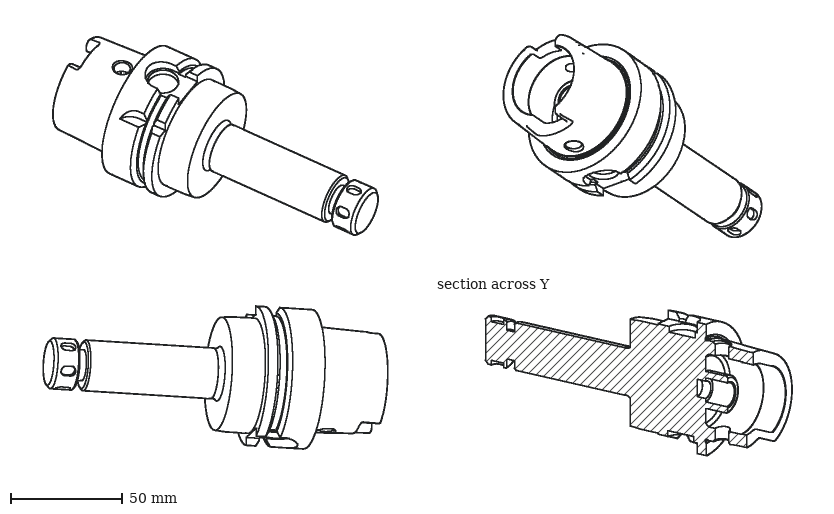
import cadquery as cq
import math

OVERALL_LENGTH = 152.0

TAPER_NOSE_R = 22.8
TAPER_BASE_R = 24.0
TAPER_END_X = 29.8
TAPER_RIM_END_X = 31.0
NOSE_FILLET_R = 1.0

RELIEF_R = 23.7
FACE_RELIEF_FLOOR_R = 24.6
FACE_RELIEF_R = 25.5
FACE_RELIEF_DEPTH = 0.5

FLANGE_R = 31.5
FLANGE_START_X = 31.6
FLANGE_END_X = 57.9
GROOVE_R = 27.5
GROOVE_START_X = 48.3
GROOVE_END_X = 51.8
GROOVE_FLANK_LENGTH = 1.7
GROOVE_FLANK_R = 28.9

COLLAR_R = 26.0
COLLAR_END_R = 25.5
COLLAR_TAPER_X = 68.0
COLLAR_END_X = 73.1

SHAFT_R = 23.0 / 2
SHAFT_NECK_R = 22.6 / 2
ROOT_FILLET_R = 3.5
ROOT_LENGTH = 2.5
SHAFT_START_X = 76.0
SHAFT_END_X = 136.2
SHAFT_CHAMFER = 0.9
NUT_NECK_R = 14.0 / 2

NUT_R = SHAFT_R
NUT_START_X = 140.1
NUT_BACK_CHAMFER = 0.8
NUT_FRONT_CHAMFER = 1.5
NUT_SLOT_COUNT = 6
NUT_SLOT_X = 145.3
NUT_SLOT_LENGTH = 6.7
NUT_SLOT_WIDTH = 4.5
NUT_SLOT_DEPTH = 2.1

BORE_LAND_R = 34.0 / 2
BORE_R = 34.5 / 2
BORE_LAND_END_X = 12.2
BORE_FLOOR_X = 31.9
BORE_FLOOR_CHAMFER = 1.5
TUBE_R = 18.0 / 2
TUBE_END_X = 19.8
TUBE_CHAMFER = 0.9
TUBE_BORE_R = 11.2 / 2
TUBE_BORE_CHAMFER = 0.5
TUBE_DRILL_R = 8.0 / 2
TUBE_DRILL_DEPTH = 4.5

DRIVE_SLOT_HALF_WIDTH = 6.1
DRIVE_SLOT_FLARE_R = 3.0
DRIVE_SLOT_FLARE_Z = 17.8
DRIVE_SLOT_DEPTH_TOP = 6.1
DRIVE_SLOT_DEPTH_BOTTOM = 9.5
DRIVE_SLOT_FLOOR_FILLET = 1.2

ACCESS_HOLE_X = 23.1
ACCESS_HOLE_R = 7.3 / 2
ACCESS_HOLE_SINK_Z = 22.8
ACCESS_HOLE_TOP_Z = 25.1

KEYWAY_START_X = 36.6
KEYWAY_TOP_R = 8.0
KEYWAY_BOTTOM_R = 9.0
KEYWAY_FLOOR_Z = 26.5
KEYWAY_POCKET_R = 14.0 / 2
KEYWAY_POCKET_DEPTH = 2.7
NOTCH_X = 44.1
NOTCH_R = 8.0
NOTCH_Y = -19.8
NOTCH_FLOOR_Z = 19.9


def revolve_profile(points):
    """Revolve (x, radius) points about the X axis."""
    return cq.Workplane("XY").polyline(points).close().revolve(360, (0, 0, 0), (1, 0, 0))


def turned(shape, angle):
    """Turn a shape about the part axis."""
    return shape.rotate((0, 0, 0), (1, 0, 0), angle)


def body():
    """Outer turned shape from the taper nose to the nut."""
    root_flare = ROOT_FILLET_R - math.sqrt(ROOT_FILLET_R**2 - ROOT_LENGTH**2)
    outline = (
        cq.Workplane("XY")
        .moveTo(0, 0)
        .lineTo(0, TAPER_NOSE_R)
        .lineTo(TAPER_END_X, TAPER_BASE_R)
        .lineTo(TAPER_RIM_END_X, TAPER_BASE_R)
        .lineTo(TAPER_RIM_END_X, RELIEF_R)
        .lineTo(FLANGE_START_X + FACE_RELIEF_DEPTH, RELIEF_R)
        .lineTo(FLANGE_START_X + FACE_RELIEF_DEPTH, FACE_RELIEF_FLOOR_R)
        .lineTo(FLANGE_START_X, FACE_RELIEF_R)
        .lineTo(FLANGE_START_X, FLANGE_R)
        .lineTo(GROOVE_START_X - GROOVE_FLANK_LENGTH, FLANGE_R)
        .lineTo(GROOVE_START_X, GROOVE_FLANK_R)
        .lineTo(GROOVE_START_X, GROOVE_R)
        .lineTo(GROOVE_END_X, GROOVE_R)
        .lineTo(GROOVE_END_X, GROOVE_FLANK_R)
        .lineTo(GROOVE_END_X + GROOVE_FLANK_LENGTH, FLANGE_R)
        .lineTo(FLANGE_END_X, FLANGE_R)
        .lineTo(FLANGE_END_X, COLLAR_R)
        .lineTo(COLLAR_TAPER_X, COLLAR_R)
        .lineTo(COLLAR_END_X, COLLAR_END_R)
        .lineTo(COLLAR_END_X, SHAFT_NECK_R + root_flare)
        .radiusArc((COLLAR_END_X + ROOT_LENGTH, SHAFT_NECK_R), -ROOT_FILLET_R)
        .lineTo(SHAFT_START_X, SHAFT_NECK_R)
        .lineTo(SHAFT_START_X, SHAFT_R)
        .lineTo(SHAFT_END_X - SHAFT_CHAMFER, SHAFT_R)
        .lineTo(SHAFT_END_X, SHAFT_R - SHAFT_CHAMFER)
        .lineTo(SHAFT_END_X, NUT_NECK_R)
        .lineTo(NUT_START_X, NUT_NECK_R)
        .lineTo(NUT_START_X, NUT_R - NUT_BACK_CHAMFER)
        .lineTo(NUT_START_X + NUT_BACK_CHAMFER, NUT_R)
        .lineTo(OVERALL_LENGTH - NUT_FRONT_CHAMFER, NUT_R)
        .lineTo(OVERALL_LENGTH, NUT_R - NUT_FRONT_CHAMFER)
        .lineTo(OVERALL_LENGTH, 0)
        .close()
    )
    return outline.revolve(360, (0, 0, 0), (1, 0, 0))


def taper_bore():
    """Hollow of the taper, leaving the coolant tube standing on its floor."""
    hollow = revolve_profile([
        (0, 0),
        (0, BORE_R),
        (BORE_R - BORE_LAND_R, BORE_LAND_R),
        (BORE_LAND_END_X, BORE_LAND_R),
        (BORE_LAND_END_X, BORE_R),
        (BORE_FLOOR_X - BORE_FLOOR_CHAMFER, BORE_R),
        (BORE_FLOOR_X, BORE_R - BORE_FLOOR_CHAMFER),
        (BORE_FLOOR_X, TUBE_R),
        (TUBE_END_X + TUBE_CHAMFER, TUBE_R),
        (TUBE_END_X, TUBE_R - TUBE_CHAMFER),
        (TUBE_END_X, 0),
    ])
    tube_bore = revolve_profile([
        (TUBE_END_X, 0),
        (TUBE_END_X, TUBE_BORE_R + TUBE_BORE_CHAMFER),
        (TUBE_END_X + TUBE_BORE_CHAMFER, TUBE_BORE_R),
        (BORE_FLOOR_X, TUBE_BORE_R),
        (BORE_FLOOR_X, TUBE_DRILL_R),
        (BORE_FLOOR_X + TUBE_DRILL_DEPTH, TUBE_DRILL_R),
        (BORE_FLOOR_X + TUBE_DRILL_DEPTH, 0),
    ])
    return hollow.union(tube_bore)


def drive_slot(depth):
    """Slot across the +Z nose wall whose sides flare outwards in round arcs to flat shelves."""
    flare_y = DRIVE_SLOT_HALF_WIDTH + DRIVE_SLOT_FLARE_R
    flare_top_z = DRIVE_SLOT_FLARE_Z + DRIVE_SLOT_FLARE_R
    arc_mid_y = flare_y - DRIVE_SLOT_FLARE_R * math.sqrt(0.5)
    arc_mid_z = DRIVE_SLOT_FLARE_Z + DRIVE_SLOT_FLARE_R * math.sqrt(0.5)
    return (
        cq.Workplane("YZ")
        .moveTo(-DRIVE_SLOT_HALF_WIDTH, 0)
        .lineTo(-DRIVE_SLOT_HALF_WIDTH, DRIVE_SLOT_FLARE_Z)
        .threePointArc((-arc_mid_y, arc_mid_z), (-flare_y, flare_top_z))
        .lineTo(-FLANGE_R, flare_top_z)
        .lineTo(-FLANGE_R, FLANGE_R)
        .lineTo(FLANGE_R, FLANGE_R)
        .lineTo(FLANGE_R, flare_top_z)
        .lineTo(flare_y, flare_top_z)
        .threePointArc((arc_mid_y, arc_mid_z), (DRIVE_SLOT_HALF_WIDTH, DRIVE_SLOT_FLARE_Z))
        .lineTo(DRIVE_SLOT_HALF_WIDTH, 0)
        .close()
        .extrude(depth)
        .faces(">X").edges()
        .fillet(DRIVE_SLOT_FLOOR_FILLET)
    )


def access_hole():
    """Radial hole through the +Z taper wall with a 45 degree countersink."""
    sink_height = ACCESS_HOLE_TOP_Z - ACCESS_HOLE_SINK_Z
    return (
        cq.Workplane("XZ", origin=(ACCESS_HOLE_X, 0, 0))
        .moveTo(0, TUBE_R)
        .lineTo(ACCESS_HOLE_R, TUBE_R)
        .lineTo(ACCESS_HOLE_R, ACCESS_HOLE_SINK_Z)
        .lineTo(ACCESS_HOLE_R + sink_height, ACCESS_HOLE_TOP_Z)
        .lineTo(0, ACCESS_HOLE_TOP_Z)
        .close()
        .revolve(360, (0, 0, 0), (0, 1, 0))
    )


def milled_slot(end_x, center_y, end_r, floor_z):
    """Round-ended slot milled along +X and open at the back of the flange."""
    run = FLANGE_END_X - end_x
    height = FLANGE_R - floor_z
    start = cq.Workplane("XY", origin=(end_x, center_y, floor_z))
    round_end = start.circle(end_r).extrude(height)
    channel = start.center(run / 2, 0).rect(run, 2 * end_r).extrude(height)
    return round_end.union(channel)


def keyway(end_r):
    """Keyway on the +Z side of the flange with a shallow round pocket in its floor."""
    end_x = KEYWAY_START_X + end_r
    pocket = (
        cq.Workplane("XY", origin=(end_x, 0, KEYWAY_FLOOR_Z - KEYWAY_POCKET_DEPTH))
        .circle(KEYWAY_POCKET_R)
        .extrude(KEYWAY_POCKET_DEPTH)
    )
    return milled_slot(end_x, 0, end_r, KEYWAY_FLOOR_Z).union(pocket)


def orientation_notch():
    """Notch in the flange edge on the -Y, +Z side."""
    return milled_slot(NOTCH_X, NOTCH_Y - NOTCH_R, NOTCH_R, NOTCH_FLOOR_Z)


def nut_slots():
    """Spanner slots spaced evenly around the nut."""
    slot = (
        cq.Workplane("XY", origin=(NUT_SLOT_X, 0, NUT_R - NUT_SLOT_DEPTH))
        .slot2D(NUT_SLOT_LENGTH, NUT_SLOT_WIDTH)
        .extrude(2 * NUT_SLOT_DEPTH)
    )
    slots = slot
    for index in range(1, NUT_SLOT_COUNT):
        slots = slots.union(turned(slot, index * 360 / NUT_SLOT_COUNT))
    return slots


def slotted_nose(shape):
    """Cut both drive slots and round the nose face edges along them and the taper."""
    shape = shape.cut(drive_slot(DRIVE_SLOT_DEPTH_TOP))
    shape = shape.cut(turned(drive_slot(DRIVE_SLOT_DEPTH_BOTTOM), 180))
    return shape.faces("<X").edges().fillet(NOSE_FILLET_R)


result = slotted_nose(body()).cut(taper_bore())
for side_angle, keyway_r in ((0, KEYWAY_TOP_R), (180, KEYWAY_BOTTOM_R)):
    result = result.cut(turned(access_hole(), side_angle))
    result = result.cut(turned(keyway(keyway_r), side_angle))
result = result.cut(orientation_notch())
result = result.cut(nut_slots())